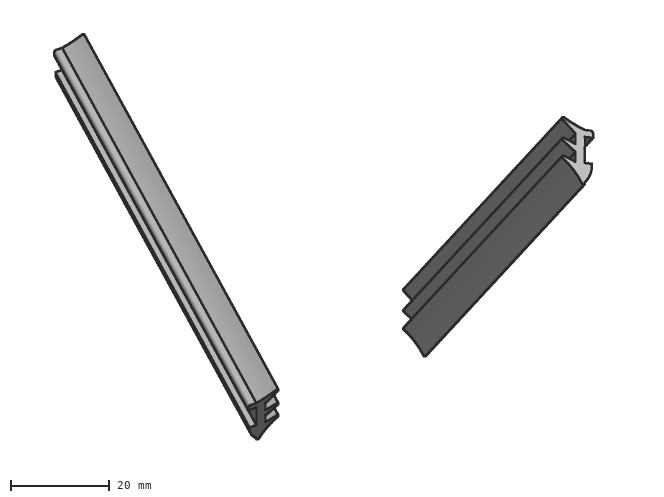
import cadquery as cq
import math

length = 100.0
depth = 6.7
height = 14.2

web_front = 1.8
web_back = 3.8

lip_bottom = 10.5
lip_nose_bottom = 11.4
lip_top = 12.0
lip_flat_front = 0.9

shelf_top = 4.8
foot_front = 0.3
foot_front_bottom = 4.2
foot_tip_front = 1.8
foot_tip_back = 2.4
foot_tip_middle = (foot_tip_front + foot_tip_back) / 2
foot_tip_rounding = 0.2
foot_tip_rise = 0.6

lip_nose_middle = (0.2, 11.8)
top_flank_middle = (3.8, 12.8)
foot_back_middle = (3.5, 2.0)
foot_front_middle = (0.8, 2.0)

tip_radius = 0.3
tip_upper_angle = 117
tip_lower_angle = -45
tip_center_y = depth - tip_radius
top_fin_z = height - tip_radius
middle_fin_z = 9.4
bottom_fin_z = 5.5
fin_root_drop = 0.7
middle_fin_thickness = 1.8
top_fin_root_z = 10.9


def fin_tip_point(z, angle):
    """Point on the round tip of a fin, at an angle in degrees from +Y."""
    turn = math.radians(angle)
    return (tip_center_y + tip_radius * math.cos(turn), z + tip_radius * math.sin(turn))


def fin_tip_upper(z):
    """Point where the upper flank of a fin meets its round tip."""
    return fin_tip_point(z, tip_upper_angle)


def add_fin_tip(outline, z):
    """Round a fin tip from its upper flank to its lower flank."""
    middle_angle = (tip_upper_angle + tip_lower_angle) / 2
    return outline.threePointArc(
        fin_tip_point(z, middle_angle), fin_tip_point(z, tip_lower_angle)
    )


outline = (
    cq.Workplane("YZ")
    .moveTo(web_front, shelf_top)
    .lineTo(web_front, lip_bottom)
    .lineTo(0, lip_bottom)
    .lineTo(0, lip_nose_bottom)
    .threePointArc(lip_nose_middle, (lip_flat_front, lip_top))
    .lineTo(web_front, lip_top)
)

outline = outline.threePointArc(top_flank_middle, fin_tip_upper(top_fin_z))
outline = add_fin_tip(outline, top_fin_z)
outline = outline.lineTo(web_back, top_fin_root_z)

outline = outline.lineTo(web_back, middle_fin_z - fin_root_drop)
outline = outline.lineTo(*fin_tip_upper(middle_fin_z))
outline = add_fin_tip(outline, middle_fin_z)
outline = outline.lineTo(web_back, middle_fin_z - fin_root_drop - middle_fin_thickness)

outline = outline.lineTo(web_back, bottom_fin_z - fin_root_drop)
outline = outline.lineTo(*fin_tip_upper(bottom_fin_z))
outline = add_fin_tip(outline, bottom_fin_z)
outline = outline.threePointArc(foot_back_middle, (foot_tip_back, foot_tip_rounding))

section = (
    outline.threePointArc((foot_tip_middle, 0), (foot_tip_front, foot_tip_rounding))
    .lineTo(foot_tip_front, foot_tip_rise)
    .threePointArc(foot_front_middle, (foot_front, foot_front_bottom))
    .lineTo(foot_front, shelf_top)
    .close()
)

result = section.extrude(length)